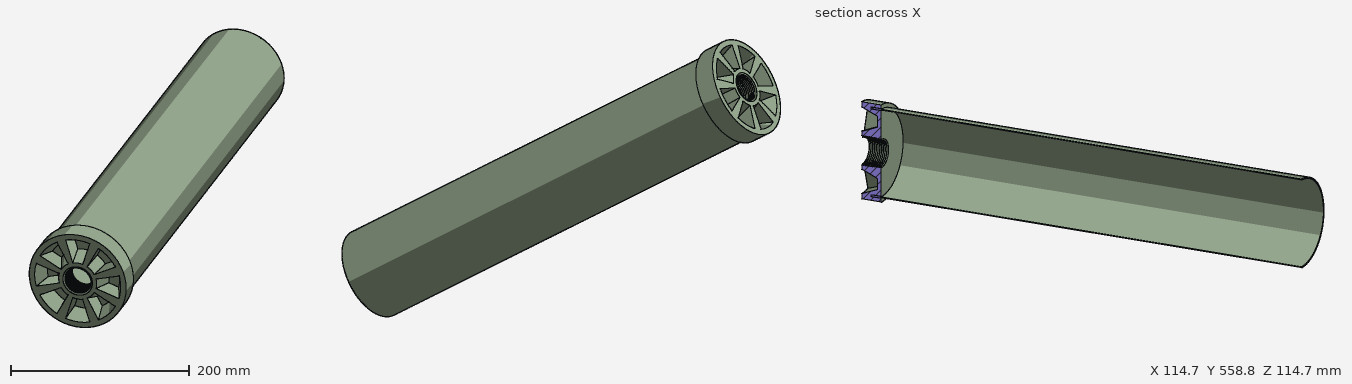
import cadquery as cq

total_length = 558.8
cap_diameter = 114.74
cap_length = 25.1

tube_diameter = 104.78
tube_bore = 101.73
tube_insertion = 12.7

thread_minor_diameter = 29.37
thread_major_diameter = 33.4
thread_taper = 1 / 16
thread_count = 11
thread_pitch = cap_length / thread_count
thread_flat = thread_pitch / 8
thread_flank = thread_pitch / 2 - thread_flat

pocket_count = 8
pocket_depth = 20.0
pocket_front_inner_radius = 22.5
pocket_front_outer_radius = 50.87
pocket_end_taper = 8.0
pocket_inner_half_width = 5.5
pocket_outer_half_width = 14.8
pocket_side_draft = 4.4
pocket_wedge_margin = 2.0


def cylinder(diameter, start, end):
    """Solid cylinder on the Y axis between two Y positions."""
    plane = cq.Workplane("XZ", origin=(0, start, 0))
    return plane.circle(diameter / 2).extrude(start - end)


def tube_solid(start):
    outside = cylinder(tube_diameter, start, total_length)
    return outside.cut(cylinder(tube_bore, start, total_length))


def thread_point(diameter, depth):
    """Profile point at a depth in the port, widened by the taper toward the front."""
    tapered_diameter = diameter + thread_taper * (cap_length - depth)
    return tapered_diameter / 2, depth


def threaded_bore():
    """Tapered bore with a ring groove for every thread turn, as one revolved cutter."""
    points = [(0, 0)]
    for turn in range(thread_count):
        root_start = turn * thread_pitch
        root_end = root_start + thread_flat
        crest_start = root_end + thread_flank
        crest_end = crest_start + thread_flat
        points.append(thread_point(thread_major_diameter, root_start))
        points.append(thread_point(thread_major_diameter, root_end))
        points.append(thread_point(thread_minor_diameter, crest_start))
        points.append(thread_point(thread_minor_diameter, crest_end))
    points.append(thread_point(thread_major_diameter, cap_length))
    points.append((0, cap_length))
    return cq.Workplane("XY").polyline(points).close().revolve(360, (0, 0, 0), (0, 1, 0))


def pocket():
    """Pocket above the port: conical ends, slightly drafted flat sides."""
    ring = (
        cq.Workplane("XY")
        .moveTo(pocket_front_inner_radius, 0)
        .lineTo(pocket_front_outer_radius, 0)
        .lineTo(pocket_front_outer_radius - pocket_end_taper, pocket_depth)
        .lineTo(pocket_front_inner_radius + pocket_end_taper, pocket_depth)
        .close()
        .revolve(360, (0, 0, 0), (0, 1, 0))
    )
    wedge = (
        cq.Workplane("XZ")
        .moveTo(-pocket_inner_half_width, pocket_front_inner_radius - pocket_wedge_margin)
        .lineTo(pocket_inner_half_width, pocket_front_inner_radius - pocket_wedge_margin)
        .lineTo(pocket_outer_half_width, pocket_front_outer_radius)
        .lineTo(-pocket_outer_half_width, pocket_front_outer_radius)
        .close()
        .extrude(-pocket_depth, taper=pocket_side_draft)
    )
    return ring.intersect(wedge)


tube = tube_solid(cap_length - tube_insertion)

cap = cylinder(cap_diameter, 0, cap_length).cut(tube).cut(threaded_bore())
pocket_cutter = pocket()
for index in range(pocket_count):
    angle = index * 360 / pocket_count
    cap = cap.cut(pocket_cutter.rotate((0, 0, 0), (0, 1, 0), angle))

result = cq.Compound.makeCompound([cap.val(), tube.val()])